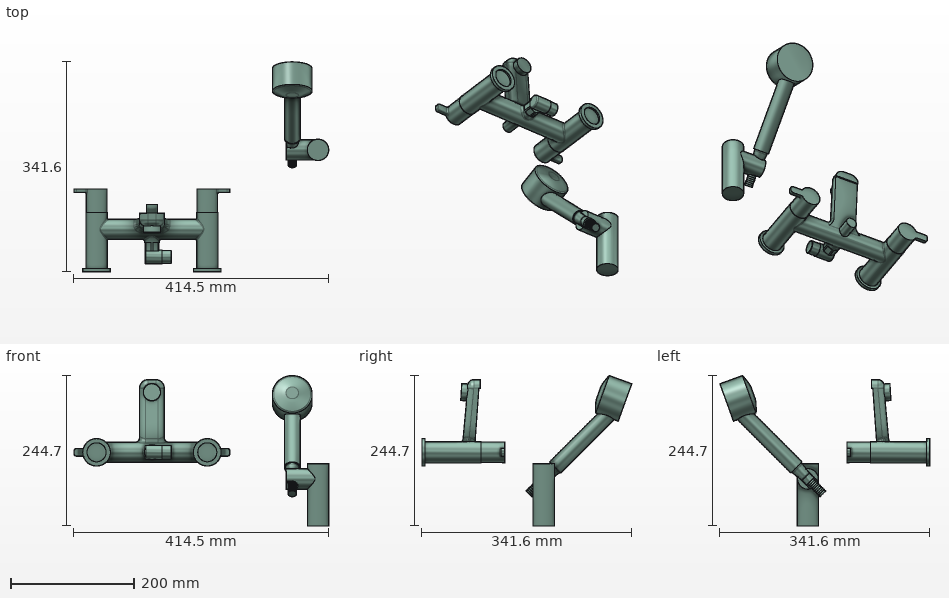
import cadquery as cq
import math

selection_margin = 0.5

leg_spacing = 180.0
leg_radius = 17.5
knob_radius = 17.0
knob_start = 96.5
leg_end = 135.0
flange_radius = 22.5
flange_thickness = 5.5
recess_radius = 15.5
recess_depth = 3.0

pipe_radius = 16.5
pipe_y = 69.2
pipe_leg_fillet = 2.0

lever_reach = 126.9
lever_width = 13.0
lever_thickness = 6.2
lever_tip_radius = 4.5
lever_edge_fillet = 1.0
lever_root_fillet = 2.5

diverter_radius = 9.2
diverter_end = 109.5

spout_width = 40.5
spout_top = 118.3
spout_head_base = 104.0
spout_head_front = 74.5
spout_head_back = 95.3
spout_neck_back = 93.0
spout_foot_front = 64.9
spout_foot_back = 85.6
spout_front_fillet = 10.0
spout_top_side_radius = 14.0
spout_foot_fillet = 9.0

nozzle_radius = 14.0
nozzle_z = 98.0
nozzle_face_y = 64.0
nozzle_length = 15.0
nozzle_tilt = 3.5

hex_flats = 22.4
hex_half_angle = 30.0
outlet_collar_radius = 12.2
outlet_collar_front = 48.0
outlet_collar_fillet = 3.0
hex_front = 33.7
elbow_radius = 11.45
elbow_y = 24.2
elbow_left = -hex_flats / 2
elbow_step = 16.6
elbow_end_fillet = 2.0
outlet_radius = 10.8
outlet_end = 31.5
outlet_end_chamfer = 0.8

post_radius = 17.5
post_x = 270.13
post_bottom = -119.9
post_height = 101.4
holder_y = 198.3
holder_z = -43.3
holder_radius = 16.8
holder_face_x = 218.4
clip_slot_radius = 9.0

handle_x = 228.2
handle_tilt = 45.0
handle_radius = 13.0
handle_start = 26.3
handle_end = 160.0
collar_length = 2.5
collar_radius = 11.2
neck_radius = 10.8
neck_step = 6.5
neck_step_length = 1.5
neck_step_radius = 8.9
neck_tip_radius = 8.4
neck_tip = -5.7
tail_end = -34.2
tail_crest_radius = 7.0
tail_root_radius = 5.8
tail_ridges = 9

head_radius = 32.5
head_length = 40.5
head_tilt = 20.0
head_back_y = 330.5
head_back_z = 80.96
head_rim_chamfer = 1.5
dome_rim_radius = 30.0
dome_mid_radius = 21.0
dome_mid_height = 3.4
dome_disc_radius = 10.2
dome_disc_height = 5.4


def cylinder(start, direction, radius, length):
    """Solid cylinder growing from a point along a direction."""
    return cq.Workplane(cq.Solid.makeCylinder(radius, length, cq.Vector(*start), cq.Vector(*direction)))


def box_selector(low, high):
    """Selects the edges whose centre lies in a box given by two corners."""
    return cq.selectors.BoxSelector(low, high)


def make_pipe():
    return cylinder((-leg_spacing / 2, pipe_y, 0), (1, 0, 0), pipe_radius, leg_spacing)


def make_leg(side):
    """Leg with its wall flange and recess; side is -1 or +1."""
    foot = (side * leg_spacing / 2, 0, 0)
    leg = cylinder(foot, (0, 1, 0), leg_radius, knob_start)
    leg = leg.union(cylinder(foot, (0, 1, 0), flange_radius, flange_thickness))
    return leg.cut(cylinder(foot, (0, 1, 0), recess_radius, recess_depth))


def make_knob(side):
    """Turning knob on the end of a leg, with its lever pointing outward."""
    knob = cylinder((leg_spacing / 2, knob_start, 0), (0, 1, 0), knob_radius, leg_end - knob_start)
    lever = (
        cq.Workplane("XY")
        .box(lever_reach - leg_spacing / 2, lever_thickness, lever_width, centered=(False, False, True))
        .edges("|Y and >X")
        .fillet(lever_tip_radius)
        .faces("<Y")
        .edges()
        .fillet(lever_edge_fillet)
        .translate((leg_spacing / 2, leg_end - lever_thickness, 0))
    )
    knob = knob.union(lever)
    root_x = leg_spacing / 2 + knob_radius
    lever_middle = leg_end - lever_thickness / 2
    root = box_selector(
        (root_x - lever_width / 4, lever_middle - lever_thickness, -lever_width),
        (root_x + selection_margin, leg_end - selection_margin, lever_width),
    )
    knob = knob.edges(root).fillet(lever_root_fillet)
    return knob if side > 0 else knob.mirror("YZ")


def make_spout():
    """Leaning spout: side outline swept across its width, then rounded at the top and front."""
    outline = [
        (spout_foot_front, 0),
        (spout_head_front, spout_head_base),
        (spout_head_front, spout_top),
        (spout_head_back, spout_top),
        (spout_head_back, spout_head_base),
        (spout_neck_back, spout_head_base),
        (spout_foot_back, 0),
    ]
    side_shape = cq.Workplane("YZ").polyline(outline).close().extrude(spout_width / 2, both=True)
    front_shape = (
        cq.Workplane("XZ")
        .rect(spout_width, 2 * spout_top)
        .extrude(-spout_head_back)
        .edges("|Y and >Z")
        .fillet(spout_top_side_radius)
    )
    spout = side_shape.intersect(front_shape)
    column_front = box_selector(
        (-spout_width, 0, selection_margin),
        (spout_width, spout_head_front, spout_head_base - selection_margin),
    )
    head_front = box_selector(
        (-spout_width, 0, spout_head_base + selection_margin),
        (spout_width, spout_head_front + selection_margin, spout_top + selection_margin),
    )
    front_edges = spout.edges(column_front).add(spout.edges(head_front))
    return front_edges.fillet(spout_front_fillet)


def make_nozzle():
    """Round nozzle reaching back into the spout, its face tipped slightly upward."""
    tilt = math.radians(nozzle_tilt)
    face = (0, nozzle_face_y, nozzle_z)
    return cylinder(face, (0, math.cos(tilt), -math.sin(tilt)), nozzle_radius, nozzle_length)


def make_outlet_collar():
    return cylinder((0, pipe_y, 0), (0, -1, 0), outlet_collar_radius, pipe_y - outlet_collar_front)


def make_hex():
    """Hexagonal stub into the elbow, corners up and down, trimmed to the collar radius."""
    length = pipe_y - hex_front
    prism = (
        cq.Workplane("XZ", origin=(0, pipe_y, 0))
        .polygon(6, hex_flats / math.cos(math.radians(hex_half_angle)))
        .extrude(length)
        .rotate((0, 0, 0), (0, 1, 0), hex_half_angle)
    )
    return prism.intersect(cylinder((0, pipe_y, 0), (0, -1, 0), outlet_collar_radius, length))


def make_elbow():
    """Sideways end of the outlet, with a slightly thinner hose connection."""
    elbow = cylinder((elbow_left, elbow_y, 0), (1, 0, 0), elbow_radius, elbow_step - elbow_left)
    elbow = elbow.faces("<X").edges().fillet(elbow_end_fillet)
    outlet = cylinder((elbow_step, elbow_y, 0), (1, 0, 0), outlet_radius, outlet_end - elbow_step)
    outlet = outlet.faces(">X").edges().chamfer(outlet_end_chamfer)
    return elbow.union(outlet)


def make_mixer():
    mixer = make_pipe().union(make_spout())
    foot_edges = box_selector(
        (-spout_width, spout_foot_front, pipe_radius / 2),
        (spout_width, spout_foot_back - selection_margin, pipe_radius + selection_margin),
    )
    mixer = mixer.edges(foot_edges).fillet(spout_foot_fillet)

    mixer = mixer.union(make_outlet_collar())
    collar_root = box_selector(
        (-outlet_collar_radius, pipe_y - pipe_radius, -outlet_collar_radius + selection_margin),
        (outlet_collar_radius, pipe_y - pipe_radius / 2, outlet_collar_radius),
    )
    mixer = mixer.edges(collar_root).fillet(outlet_collar_fillet)
    mixer = mixer.union(make_hex())

    for side in (-1, 1):
        mixer = mixer.union(make_leg(side))
    for side in (-1, 1):
        joint_x = side * (leg_spacing / 2 - leg_radius)
        joint = box_selector(
            (joint_x - pipe_radius / 2, pipe_y - selection_margin, -pipe_radius / 2),
            (joint_x + pipe_radius / 2, pipe_y + selection_margin, pipe_radius / 2),
        )
        mixer = mixer.edges(joint).fillet(pipe_leg_fillet)
        mixer = mixer.union(make_knob(side))

    diverter = cylinder((0, pipe_y, 0), (0, 1, 0), diverter_radius, diverter_end - pipe_y)
    return mixer.union(make_nozzle()).union(make_elbow()).union(diverter)


def place_on_handle(shape):
    """Moves a shape built along Z onto the leaning handle axis through the holder arm."""
    return shape.rotate((0, 0, 0), (1, 0, 0), -handle_tilt).translate((handle_x, holder_y, holder_z))


def make_holder():
    """Upright post with a side arm whose end face has a clip slot along the handle."""
    post = cylinder((post_x, holder_y, post_bottom), (0, 0, 1), post_radius, post_height)
    arm = cylinder((holder_face_x, holder_y, holder_z), (1, 0, 0), holder_radius, post_x - holder_face_x)
    slot_length = 4 * holder_radius
    slot_depth = handle_x - holder_face_x
    slot = cq.Workplane("XY").circle(clip_slot_radius).extrude(slot_length / 2, both=True)
    opening = cq.Workplane("XY").box(2 * slot_depth, 2 * clip_slot_radius, slot_length)
    slot = slot.union(opening.translate((-slot_depth, 0, 0)))
    return post.union(arm.cut(place_on_handle(slot)))


def make_handle():
    """Turned handle: grip, collar, tapered neck and ridged hose tail."""
    points = [(0, handle_end), (handle_radius, handle_end), (handle_radius, handle_start)]
    points += [(collar_radius, handle_start), (neck_radius, handle_start - collar_length)]
    points += [(neck_step_radius, neck_step), (neck_tip_radius, neck_step - neck_step_length)]
    points.append((neck_tip_radius, neck_tip))
    pitch = (neck_tip - tail_end) / tail_ridges
    for ridge in range(tail_ridges):
        top = neck_tip - ridge * pitch
        points += [(tail_root_radius, top), (tail_crest_radius, top - pitch)]
    points.append((0, tail_end))
    handle = cq.Workplane("XZ").polyline(points).close().revolve(360, (0, 0, 0), (0, 1, 0))
    return place_on_handle(handle)


def make_head():
    """Round shower head with a bevelled rim and a domed spray face around a flat centre disc."""
    head = (
        cq.Workplane("XZ")
        .lineTo(head_radius, 0)
        .lineTo(head_radius, head_length - head_rim_chamfer)
        .lineTo(dome_rim_radius, head_length)
        .threePointArc(
            (dome_mid_radius, head_length + dome_mid_height),
            (dome_disc_radius, head_length + dome_disc_height),
        )
        .lineTo(0, head_length + dome_disc_height)
        .close()
        .revolve(360, (0, 0, 0), (0, 1, 0))
    )
    head = head.rotate((0, 0, 0), (1, 0, 0), 90 - head_tilt)
    return head.translate((handle_x, head_back_y, head_back_z))


def make_shower():
    return make_holder().union(make_handle()).union(make_head())


mixer = make_mixer()
shower = make_shower()
result = cq.Compound.makeCompound([*mixer.solids().vals(), *shower.solids().vals()])